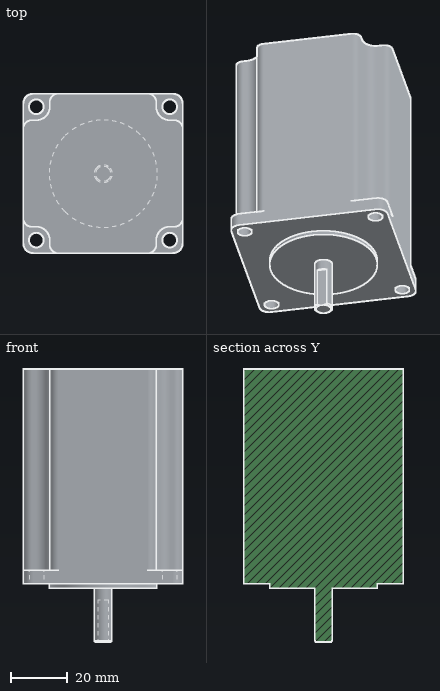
import cadquery as cq
import math

BODY_WIDTH = 56.4
BODY_LENGTH = 76.0
FLANGE_THICKNESS = 4.8
FLANGE_CORNER_RADIUS = 3.5

HOLE_SPACING = 47.14
HOLE_DIAMETER = 5.1
RELIEF_RADIUS = 4.75
RELIEF_EDGE_RADIUS = 3.0

PILOT_DIAMETER = 38.1
PILOT_HEIGHT = 1.6

SHAFT_DIAMETER = 6.35
SHAFT_LENGTH = 20.6
SHAFT_CHAMFER = 0.5
FLAT_LENGTH = 15.0
FLAT_HEIGHT = 5.8

HALF_WIDTH = BODY_WIDTH / 2
HOLE_OFFSET = HOLE_SPACING / 2
CORNERS = [(x, y) for x in (-1, 1) for y in (-1, 1)]


def make_body():
    """Square motor body with rounded corners, mounting face at Z = 0."""
    block = cq.Workplane("XY").rect(BODY_WIDTH, BODY_WIDTH).extrude(BODY_LENGTH)
    return block.edges("|Z").fillet(FLANGE_CORNER_RADIUS)


def make_corner_relief(x_sign, y_sign):
    """Cutter for one corner, open to both outer sides above the flange.

    Its inner corner is an arc about the mounting hole, and its two mouths
    flare out so that the body keeps rounded edges.
    """
    wall = HOLE_OFFSET - RELIEF_RADIUS
    mouth = wall - RELIEF_EDGE_RADIUS
    shoulder = HALF_WIDTH - RELIEF_EDGE_RADIUS

    def at(x, y):
        return (x_sign * x, y_sign * y)

    diagonal = math.sqrt(0.5)
    flare = RELIEF_EDGE_RADIUS * diagonal
    arc_middle = HOLE_OFFSET - RELIEF_RADIUS * diagonal
    return (
        cq.Workplane("XY", origin=(0, 0, FLANGE_THICKNESS))
        .moveTo(*at(mouth, HALF_WIDTH))
        .threePointArc(at(mouth + flare, shoulder + flare), at(wall, shoulder))
        .lineTo(*at(wall, HOLE_OFFSET))
        .threePointArc(at(arc_middle, arc_middle), at(HOLE_OFFSET, wall))
        .lineTo(*at(shoulder, wall))
        .threePointArc(at(shoulder + flare, mouth + flare), at(HALF_WIDTH, mouth))
        .lineTo(*at(HALF_WIDTH, HALF_WIDTH))
        .close()
        .extrude(BODY_LENGTH - FLANGE_THICKNESS)
    )


def make_mounting_holes():
    """Cutters for the four through holes in the flange."""
    centers = [(x * HOLE_OFFSET, y * HOLE_OFFSET) for x, y in CORNERS]
    return cq.Workplane("XY").pushPoints(centers).circle(HOLE_DIAMETER / 2).extrude(FLANGE_THICKNESS)


def make_pilot():
    """Round centering boss below the mounting face."""
    return cq.Workplane("XY").circle(PILOT_DIAMETER / 2).extrude(-PILOT_HEIGHT)


def make_shaft():
    """Chamfered output shaft with a flat on its +Y side at the free end."""
    shaft = (
        cq.Workplane("XY")
        .circle(SHAFT_DIAMETER / 2)
        .extrude(-SHAFT_LENGTH)
        .faces("<Z")
        .chamfer(SHAFT_CHAMFER)
    )
    flat_y = FLAT_HEIGHT - SHAFT_DIAMETER / 2
    flat_cutter = (
        cq.Workplane("XY", origin=(0, flat_y, -SHAFT_LENGTH))
        .box(SHAFT_DIAMETER, SHAFT_DIAMETER, FLAT_LENGTH, centered=(True, False, False))
    )
    return shaft.cut(flat_cutter)


result = make_body()
for x_side, y_side in CORNERS:
    result = result.cut(make_corner_relief(x_side, y_side))
result = result.cut(make_mounting_holes()).union(make_pilot()).union(make_shaft())